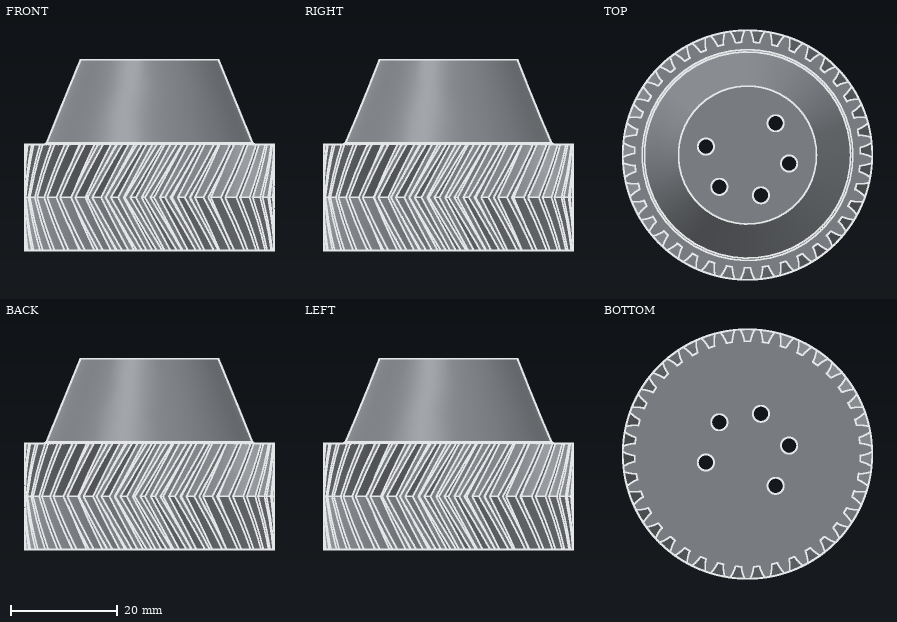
import cadquery as cq
import math

tooth_count = 39
tip_radius = 23.5
helix_angle = math.radians(30)
pressure_angle = math.radians(20)
gear_width = 20.0
half_width = gear_width / 2
top_tooth_angle = 90
dedendum_factor = 1.25

normal_module = tip_radius / (tooth_count / (2 * math.cos(helix_angle)) + 1)
pitch_radius = tip_radius - normal_module
root_radius = pitch_radius - dedendum_factor * normal_module
base_radius = pitch_radius * math.cos(pressure_angle)
twist = math.degrees(half_width * math.tan(helix_angle) / pitch_radius)
tooth_step = 2 * math.pi / tooth_count
flank_points = 3

total_height = 36.0
hub_top_radius = 26.0 / 2
hub_base_radius = 19.4
flare_radius = 19.85
flare_height = 0.3

hole_diameter = 3.0
hole_circle_radius = 8
hole_places = 6
first_hole_angle = 168.5
hole_count = 5


def polar(radius, angle):
    return (radius * math.cos(angle), radius * math.sin(angle))


def involute(angle):
    return math.tan(angle) - angle


def half_tooth_angle(radius):
    """Half the angle that a tooth spans at the given radius."""
    roll = math.acos(base_radius / radius)
    return tooth_step / 4 + involute(pressure_angle) - involute(roll)


def gear_outline():
    """Closed outline on the XY plane with involute flanks and a tooth centred on +X."""
    rise = (tip_radius - root_radius) / (flank_points - 1)
    radii = [root_radius + i * rise for i in range(flank_points)]
    half_angles = [half_tooth_angle(radius) for radius in radii]
    outline = cq.Workplane("XY").moveTo(*polar(root_radius, -half_angles[0]))
    for tooth in range(tooth_count):
        centre = tooth * tooth_step
        leading = [polar(r, centre - a) for r, a in zip(radii, half_angles)]
        trailing = [polar(r, centre + a) for r, a in zip(radii, half_angles)]
        trailing.reverse()
        next_root = polar(root_radius, centre + tooth_step - half_angles[0])
        outline = outline.spline(leading[1:], includeCurrent=True)
        outline = outline.threePointArc(polar(tip_radius, centre), trailing[0])
        outline = outline.spline(trailing[1:], includeCurrent=True)
        outline = outline.threePointArc(polar(root_radius, centre + tooth_step / 2), next_root)
    return outline.close()


def herringbone_gear():
    """Two mirrored helical halves that meet at mid-width, standing on the XY plane."""
    upper = gear_outline().twistExtrude(half_width, twist)
    lower = upper.mirror("XY")
    gear = upper.union(lower)
    gear = gear.rotate((0, 0, 0), (0, 0, 1), top_tooth_angle - twist)
    return gear.translate((0, 0, half_width))


def hub():
    return (
        cq.Workplane("XZ")
        .moveTo(0, gear_width)
        .lineTo(flare_radius, gear_width)
        .lineTo(hub_base_radius, gear_width + flare_height)
        .lineTo(hub_top_radius, total_height)
        .lineTo(0, total_height)
        .close()
        .revolve(360, (0, 0, 0), (0, 1, 0))
    )


def mounting_holes():
    step = math.radians(360 / hole_places)
    start = math.radians(first_hole_angle)
    centres = [polar(hole_circle_radius, start + i * step) for i in range(hole_count)]
    return cq.Workplane("XY").pushPoints(centres).circle(hole_diameter / 2).extrude(total_height)


result = herringbone_gear().union(hub()).cut(mounting_holes())